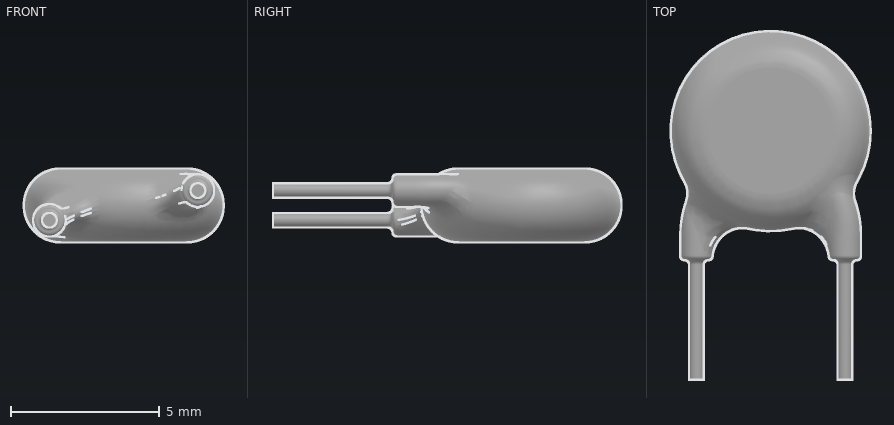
import cadquery as cq
import math

disc_diameter = 6.75
disc_thickness = 2.5
edge_radius = disc_thickness / 2
disc_radius = disc_diameter / 2
flat_radius = disc_radius - edge_radius

lead_pitch = 5.0
lead_diameter = 0.5
lead_offset_z = 0.5
lead_reach = 5.0
lead_radius = lead_diameter / 2
lead_tip_y = -(disc_radius + lead_reach)

sleeve_radius = 0.55
sleeve_bend_y = -3.53
sleeve_straight_length = 0.67
sleeve_round = 0.15
sleeve_cove = sleeve_radius - lead_radius - sleeve_round
bend_radius = 3.0
bend_angle = math.radians(40)
blend_radius = 1.1


def make_disc():
    """Flat disc with a fully rounded rim."""
    return (
        cq.Workplane("XZ")
        .moveTo(0, -edge_radius)
        .lineTo(flat_radius, -edge_radius)
        .threePointArc((disc_radius, 0), (flat_radius, edge_radius))
        .lineTo(0, edge_radius)
        .close()
        .revolve(360, (0, 0, 0), (0, 1, 0))
    )


def make_bent_sleeve(side):
    """Sleeve root that bends from the lead direction inward into the disc."""
    start_x = side * lead_pitch / 2

    def bend_point(angle):
        shift = bend_radius * (1 - math.cos(angle))
        return (start_x - side * shift, sleeve_bend_y + bend_radius * math.sin(angle))

    path = (
        cq.Workplane("XY", origin=(0, 0, side * lead_offset_z))
        .moveTo(start_x, sleeve_bend_y)
        .threePointArc(bend_point(bend_angle / 2), bend_point(bend_angle))
    )
    return (
        cq.Workplane("XZ", origin=(start_x, sleeve_bend_y, side * lead_offset_z))
        .circle(sleeve_radius)
        .sweep(path)
    )


def make_lead(side):
    """Straight sleeve end with its rounded shoulder, and the bare wire lead."""
    round_start_y = sleeve_bend_y - sleeve_straight_length
    round_end_y = round_start_y - sleeve_round
    cove_end_y = round_end_y - sleeve_cove
    shoulder_radius = sleeve_radius - sleeve_round
    diagonal = math.sqrt(0.5)
    round_middle = (
        shoulder_radius + sleeve_round * diagonal,
        round_start_y - sleeve_round * diagonal,
    )
    cove_middle = (
        shoulder_radius - sleeve_cove * diagonal,
        cove_end_y + sleeve_cove * diagonal,
    )
    return (
        cq.Workplane("XY")
        .moveTo(0, sleeve_bend_y)
        .lineTo(sleeve_radius, sleeve_bend_y)
        .lineTo(sleeve_radius, round_start_y)
        .threePointArc(round_middle, (shoulder_radius, round_end_y))
        .threePointArc(cove_middle, (lead_radius, cove_end_y))
        .lineTo(lead_radius, lead_tip_y)
        .lineTo(0, lead_tip_y)
        .close()
        .revolve(360, (0, 0, 0), (0, 1, 0))
        .translate((side * lead_pitch / 2, 0, side * lead_offset_z))
    )


def blend_sleeve(body, side):
    """Fillet the closed curve where one bent sleeve enters the disc rim."""
    seam = [
        edge
        for edge in body.edges().vals()
        if edge.geomType() == "BSPLINE" and side * edge.Center().x > 0
    ]
    return body.newObject(seam).fillet(blend_radius)


sides = (-1, 1)

body = make_disc()
for side in sides:
    body = body.union(make_bent_sleeve(side)).union(make_lead(side))
for side in sides:
    body = blend_sleeve(body, side)

result = body